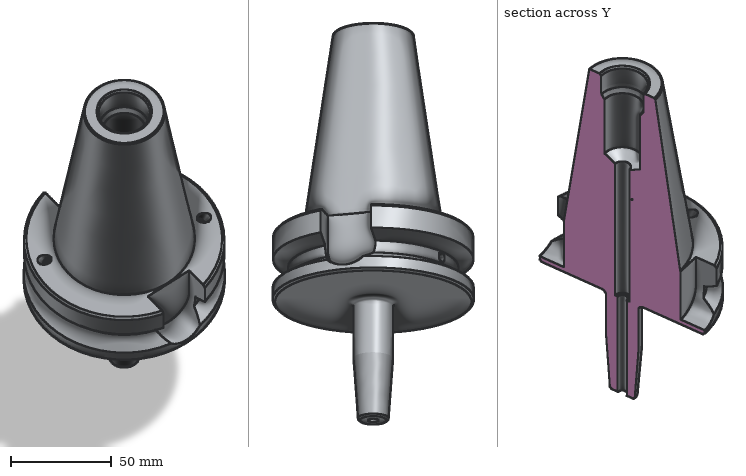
import cadquery as cq
import math

total_height = 201.8
flange_bottom = 62.2
flange_top = 97.0
taper_bottom = 99.5

nose_radius = 9.9
nose_tip_radius = 7.7
nose_taper_height = 32.3
nose_chamfer = 1.0
nose_root_fillet = 2.8

flange_radius = 50.0
upper_flange_radius = 49.8
flange_chamfer = 1.2
groove_radius = 42.4
groove_mid_height = 76.9
groove_floor_width = 6.3
groove_wall_angle = 60.0

collar_radius = 35.1
collar_chamfer_height = 1.0
taper_radius = 35.0
taper_top_radius = 20.2
taper_top_chamfer = 0.6

bore_radius = 12.7
bore_mouth_chamfer = 1.0
bore_depth = 10.9
seat_radius = 12.5
seat_depth = 13.0
thread_radius = 10.7
thread_top_depth = 15.3
thread_bottom_depth = 50.5
drill_point_angle = 120.0
duct_radius = 4.2
through_radius = 2.6

slot_width = 26.0
slot_bottom = 65.5
slot_face_distance = 35.5

port_angle = 70.0
port_radius = 3.0
port_pitch_radius = 41.8
port_depth = 4.0
port_tilt = 30.0
port_socket_radius = 2.2
port_socket_depth = 2.0
side_port_radius = 2.5
side_port_height = 77.0
side_port_depth = 4.0


def drill_point_height(radial_run):
    """Height of a drill-point cone over the given change of radius."""
    return radial_run / math.tan(math.radians(drill_point_angle / 2))


def make_body():
    """Revolve the nose, flange and shank about Z."""
    wall_slope = 1 / math.tan(math.radians(groove_wall_angle))
    lower_rise = (flange_radius - groove_radius) * wall_slope
    upper_rise = (upper_flange_radius - groove_radius) * wall_slope
    floor_low = groove_mid_height - groove_floor_width / 2
    floor_high = groove_mid_height + groove_floor_width / 2
    fillet_mid = nose_root_fillet * (1 - math.sqrt(0.5))
    return (
        cq.Workplane("XZ")
        .moveTo(0, 0)
        .lineTo(nose_tip_radius - nose_chamfer, 0)
        .lineTo(nose_tip_radius, nose_chamfer)
        .lineTo(nose_radius, nose_taper_height)
        .lineTo(nose_radius, flange_bottom - nose_root_fillet)
        .threePointArc(
            (nose_radius + fillet_mid, flange_bottom - fillet_mid),
            (nose_radius + nose_root_fillet, flange_bottom),
        )
        .lineTo(flange_radius - flange_chamfer, flange_bottom)
        .lineTo(flange_radius, flange_bottom + flange_chamfer)
        .lineTo(flange_radius, floor_low - lower_rise)
        .lineTo(groove_radius, floor_low)
        .lineTo(groove_radius, floor_high)
        .lineTo(upper_flange_radius, floor_high + upper_rise)
        .lineTo(upper_flange_radius, flange_top - flange_chamfer)
        .lineTo(upper_flange_radius - flange_chamfer, flange_top)
        .lineTo(collar_radius, flange_top)
        .lineTo(collar_radius, taper_bottom - collar_chamfer_height)
        .lineTo(taper_radius, taper_bottom)
        .lineTo(taper_top_radius, total_height - taper_top_chamfer)
        .lineTo(taper_top_radius - taper_top_chamfer, total_height)
        .lineTo(0, total_height)
        .close()
        .revolve(360, (0, 0, 0), (0, 1, 0))
    )


def make_bore():
    """Revolve the stepped bore: mouth, seat, thread core, duct and nose hole."""
    thread_bottom = total_height - thread_bottom_depth
    cone_bottom = thread_bottom - drill_point_height(thread_radius - duct_radius)
    return (
        cq.Workplane("XZ")
        .moveTo(0, 0)
        .lineTo(through_radius, 0)
        .lineTo(through_radius, flange_bottom)
        .lineTo(duct_radius, flange_bottom)
        .lineTo(duct_radius, cone_bottom)
        .lineTo(thread_radius, thread_bottom)
        .lineTo(thread_radius, total_height - thread_top_depth)
        .lineTo(seat_radius, total_height - seat_depth)
        .lineTo(bore_radius, total_height - bore_depth)
        .lineTo(bore_radius, total_height - bore_mouth_chamfer)
        .lineTo(bore_radius + bore_mouth_chamfer, total_height)
        .lineTo(0, total_height)
        .close()
        .revolve(360, (0, 0, 0), (0, 1, 0))
    )


def make_slot():
    """Round-bottomed drive slot on the +X side, open at the rim and the top."""
    slot_radius = slot_width / 2
    arc_height = slot_bottom + slot_radius
    return (
        cq.Workplane("YZ", origin=(slot_face_distance, 0, 0))
        .moveTo(-slot_radius, taper_bottom)
        .lineTo(-slot_radius, arc_height)
        .threePointArc((0, slot_bottom), (slot_radius, arc_height))
        .lineTo(slot_radius, taper_bottom)
        .close()
        .extrude(flange_radius)
    )


def drill(start, direction, radius, depth, lead=0.0):
    """Cylinder from start along direction, begun a lead distance early."""
    axis = cq.Vector(*direction).normalized()
    base = cq.Vector(*start) - axis * lead
    return cq.Workplane(cq.Solid.makeCylinder(radius, depth + lead, base, axis))


def make_ports():
    """Tilted port in the flange top and radial port in the groove, in the XZ plane."""
    tilt = math.radians(port_tilt)
    down_and_in = (-math.sin(tilt), 0, -math.cos(tilt))
    mouth = (port_pitch_radius, 0, flange_top)
    top_port = drill(mouth, down_and_in, port_radius, port_depth, lead=port_radius)
    socket = drill(mouth, down_and_in, port_socket_radius, port_depth + port_socket_depth)
    side_mouth = (groove_radius, 0, side_port_height)
    side_port = drill(side_mouth, (-1, 0, 0), side_port_radius, side_port_depth, lead=side_port_radius)
    point_base = groove_radius - side_port_depth
    point_cone = cq.Solid.makeCone(
        side_port_radius,
        0,
        drill_point_height(side_port_radius),
        cq.Vector(point_base, 0, side_port_height),
        cq.Vector(-1, 0, 0),
    )
    side_port = side_port.union(cq.Workplane(point_cone))
    return top_port.union(socket).union(side_port)


result = make_body().cut(make_bore())
for half_turn in (0, 180):
    result = result.cut(make_slot().rotate((0, 0, 0), (0, 0, 1), half_turn))
    result = result.cut(make_ports().rotate((0, 0, 0), (0, 0, 1), port_angle + half_turn))